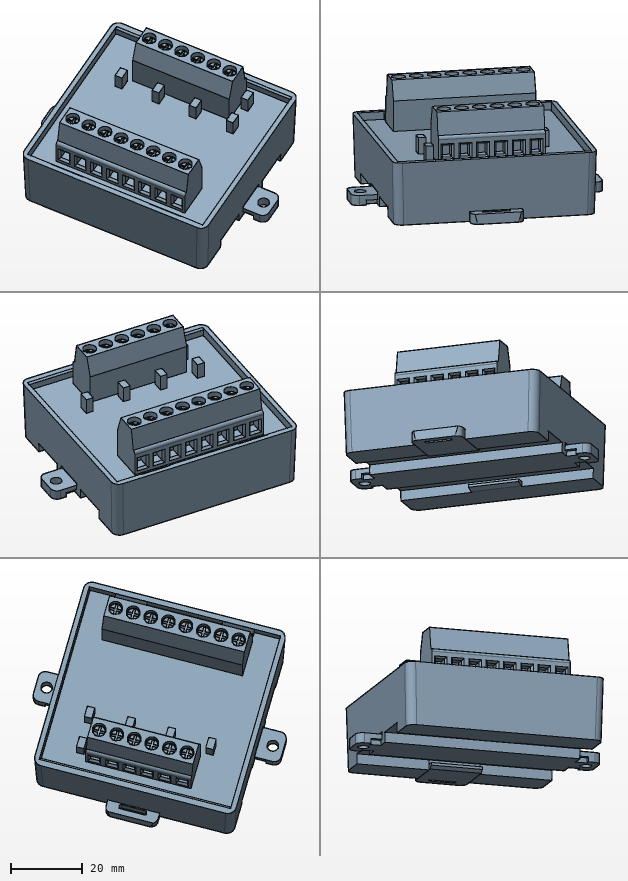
import cadquery as cq
import math


base_length = 58.2
base_width = 56.3
base_height = 18.1
wall_draft = 0.48
corner_radius = 2.4
floor_thickness = 1.5

recess_length = 55.3
recess_front_y = -26.55
recess_rear_y = 25.85
recess_depth = 2.2
rear_bevel_width = 0.6
rear_bevel_height = 0.45
cover_clearance = 0.2
cover_ledge = 0.8
cover_thickness = 2.0

catch_length = 9.2
catch_reach = 1.4
catch_height = 2.0
catch_x = 15.5

rail_y = 0.12
rail_half_width = 17.8
foot_half_width = 6.92
channel_height = 2.9

hook_reach = 2.75
hook_top = 1.4
hook_tip_bottom = 0.65
hook_foot_reach = 0.6

overall_length = 71.6
ear_width = 9.1
ear_corner_radius = 2.0
ear_hole_diameter = 3.2
ear_hole_x = 32.7
ear_relief_x = 31.9
ear_relief_height = 1.45
ear_relief_depth = 1.3
ear_mouth_rise = 0.7

latch_width = 15.0
latch_end_y = 31.36
latch_end_draft = 0.3
latch_corner_radius = 2.0
latch_slot_length = 7.9
latch_slot_width = 1.2
latch_slot_radius = 0.5
latch_slot_y = 28.7
latch_hook_reach = 2.0
latch_hook_top = 1.65
latch_hook_bevel = 0.9

pitch = 5.08
block_top = 30.25
block_depth = 10.3
front_ways = 8
rear_ways = 6
front_block_y = -23.4
rear_block_y = 22.92
shoulder_z = 23.75
shoulder_radius = 0.95
top_front_depth = 2.13
top_back_depth = 8.3
back_knee_z = 24.7

screw_hole_diameter = 3.8
screw_head_depth = 1.4
screw_head_bevel = 0.25
screw_head_bevel_angle = 45
screw_slot_width = 0.65
screw_slot_length = 3.2
screw_slot_depth = 0.5

entry_width = 3.7
entry_bottom = 16.95
entry_top = 21.5
entry_taper = 0.55
funnel_depth = 0.7
entry_depth = 3.5

led_width = 2.15
led_length = 3.2
led_top = 20.6
led_row_y = 10.15
led_row_pitch = 11.7
led_row_count = 4
power_led_position = (17.3, 19.4)

cover_top = base_height - recess_depth
cover_bottom = cover_top - cover_thickness
recess_half_length = recess_length / 2
floor_top = channel_height + floor_thickness
ear_half_length = overall_length / 2
inner_ear_x = recess_half_length - cover_ledge
latch_inner_y = rail_y + rail_half_width


def box(x_min, x_max, y_min, y_max, z_min, z_max):
    """Axis-aligned block given by its limits."""
    corner = (x_min, y_min, z_min)
    size = (x_max - x_min, y_max - y_min, z_max - z_min)
    return cq.Workplane("XY").box(*size, centered=False).translate(corner)


def extrude_along_x(profile_yz, length):
    """Prism of a closed (y, z) outline, centred on X = 0."""
    return cq.Workplane("YZ").polyline(profile_yz).close().extrude(length / 2, both=True)


def rounded_outline(length, width):
    return cq.Sketch().rect(length, width).vertices().fillet(corner_radius)


def drafted_block():
    foot = rounded_outline(base_length - 2 * wall_draft, base_width - 2 * wall_draft)
    rim = rounded_outline(base_length, base_width).moved(cq.Location(cq.Vector(0, 0, base_height)))
    return cq.Workplane("XY").placeSketch(foot, rim).loft()


def inset_recess_box(inset, z_min, z_max):
    """Block with the plan of the recess, shrunk by the inset on every side."""
    half_length = recess_half_length - inset
    return box(-half_length, half_length, recess_front_y + inset, recess_rear_y - inset, z_min, z_max)


def cover_recess():
    """Opening with its rear bevel, cover seat and the cavity under the cover."""
    opening = inset_recess_box(0, cover_bottom, base_height)
    cavity = inset_recess_box(cover_ledge, floor_top, cover_bottom)
    bevel = extrude_along_x(
        [
            (recess_rear_y, base_height - rear_bevel_height),
            (recess_rear_y + rear_bevel_width, base_height),
            (recess_rear_y, base_height),
        ],
        recess_length,
    )
    return opening.union(cavity).union(bevel)


def rail_channel(side):
    inner = rail_y + side * foot_half_width
    outer = rail_y + side * rail_half_width
    y_min, y_max = sorted((inner, outer))
    return box(-base_length / 2, base_length / 2, y_min, y_max, 0, channel_height)


def fixed_hook():
    wall_y = rail_y - rail_half_width
    profile = [
        (wall_y, 0),
        (wall_y + hook_foot_reach, 0),
        (wall_y + hook_reach, hook_tip_bottom),
        (wall_y + hook_reach, hook_top),
        (wall_y, hook_top),
    ]
    return extrude_along_x(profile, latch_width)


def cover_catch(x):
    """Wedge on the front wall whose flat underside sits on the cover."""
    profile = [
        (recess_front_y, cover_top),
        (recess_front_y + catch_reach, cover_top),
        (recess_front_y, cover_top + catch_height),
    ]
    return extrude_along_x(profile, catch_length).translate((x, 0, 0))


def ear_mouth():
    """Sloped clearance above the left ear where it enters the wall."""
    outer_x = -base_length / 2
    face_x = -(base_length / 2 - wall_draft)
    profile = [
        (outer_x, channel_height),
        (face_x + ear_mouth_rise, channel_height),
        (face_x, channel_height + ear_mouth_rise),
        (outer_x, channel_height + ear_mouth_rise),
    ]
    return (
        cq.Workplane("XZ", origin=(0, rail_y, 0))
        .polyline(profile)
        .close()
        .extrude(ear_width / 2, both=True)
    )


def ear():
    """Left mounting ear, running into the foot of the base."""
    y_min = rail_y - ear_width / 2
    y_max = rail_y + ear_width / 2
    wall_x = base_length / 2 - wall_draft
    tab = box(-ear_half_length, -inner_ear_x, y_min, y_max, 0, channel_height)
    tab = tab.edges("|Z and <X").fillet(ear_corner_radius)
    for relief_y in (y_min, y_max - ear_relief_depth):
        relief = box(-ear_relief_x, -wall_x, relief_y, relief_y + ear_relief_depth, 0, ear_relief_height)
        tab = tab.cut(relief)
    hole = (
        cq.Workplane("XY")
        .center(-ear_hole_x, rail_y)
        .circle(ear_hole_diameter / 2)
        .extrude(channel_height)
    )
    return tab.cut(hole)


def latch_envelope():
    """Block that the latch plate fills and that is pocketed out of the base."""
    half = latch_width / 2
    return box(-half, half, latch_inner_y, latch_end_y, 0, channel_height)


def make_base():
    base = drafted_block().cut(cover_recess()).cut(latch_envelope())
    for side in (-1, 1):
        base = base.cut(rail_channel(side))
        base = base.union(cover_catch(side * catch_x))
    left_mouth = ear_mouth()
    left_ear = ear()
    base = base.cut(left_mouth).cut(left_mouth.mirror("YZ"))
    base = base.union(left_ear).union(left_ear.mirror("YZ"))
    return base.union(fixed_hook())


def make_latch():
    plate = latch_envelope().edges("|Z and >Y").fillet(latch_corner_radius)
    end_wedge = extrude_along_x(
        [
            (latch_end_y, 0),
            (latch_end_y, channel_height),
            (latch_end_y - latch_end_draft, channel_height),
        ],
        latch_width,
    )
    slot = (
        cq.Workplane("XY")
        .center(0, latch_slot_y)
        .rect(latch_slot_length, latch_slot_width)
        .extrude(channel_height)
        .edges("|Z")
        .fillet(latch_slot_radius)
    )
    tip_y = latch_inner_y - latch_hook_reach
    hook = extrude_along_x(
        [
            (latch_inner_y, 0),
            (tip_y + latch_hook_bevel, 0),
            (tip_y, latch_hook_bevel),
            (tip_y, latch_hook_top),
            (latch_inner_y, latch_hook_top),
        ],
        latch_width,
    )
    return plate.cut(end_wedge).cut(slot).union(hook)


def screw_cut():
    """Screw hole from the block top, leaving a bevelled head with a cross slot at its bottom."""
    radius = screw_hole_diameter / 2
    floor_z = block_top - screw_head_depth - screw_head_bevel
    hole = cq.Workplane("XY", origin=(0, 0, floor_z)).circle(radius).extrude(block_top - floor_z)
    head = (
        cq.Workplane("XY", origin=(0, 0, floor_z))
        .circle(radius)
        .extrude(screw_head_bevel, taper=screw_head_bevel_angle)
    )
    cross = cq.Workplane("XY", origin=(0, 0, floor_z + screw_head_bevel - screw_slot_depth))
    slot_x = cross.rect(screw_slot_length, screw_slot_width).extrude(screw_slot_depth)
    slot_y = cross.rect(screw_slot_width, screw_slot_length).extrude(screw_slot_depth)
    return hole.cut(head).union(slot_x).union(slot_y)


def wire_entry():
    """Funnel and straight pocket, opening at Y = 0 and running toward +Y."""
    height = entry_top - entry_bottom
    middle_z = (entry_top + entry_bottom) / 2
    taper = math.degrees(math.atan2(entry_taper, funnel_depth))
    face = cq.Workplane("XZ", origin=(0, 0, middle_z))
    funnel = face.rect(entry_width, height).extrude(-funnel_depth, taper=taper)
    pocket = face.rect(entry_width - 2 * entry_taper, height - 2 * entry_taper).extrude(-entry_depth)
    return funnel.union(pocket)


def terminal_block(ways):
    """Block with its wire face on Y = 0, facing -Y."""
    length = ways * pitch
    round_offset = shoulder_radius * (1 - math.sqrt(0.5))
    block = (
        cq.Workplane("YZ")
        .moveTo(0, cover_top)
        .lineTo(0, shoulder_z - shoulder_radius)
        .threePointArc((round_offset, shoulder_z - round_offset), (shoulder_radius, shoulder_z))
        .lineTo(top_front_depth, block_top)
        .lineTo(top_back_depth, block_top)
        .lineTo(block_depth, back_knee_z)
        .lineTo(block_depth, cover_top)
        .close()
        .extrude(length / 2, both=True)
    )
    screw = screw_cut().translate((0, block_depth / 2, 0))
    entry = wire_entry()
    for way in range(ways):
        x = (way - (ways - 1) / 2) * pitch
        block = block.cut(screw.translate((x, 0, 0))).cut(entry.translate((x, 0, 0)))
    return block


def indicator(x, y):
    return (
        cq.Workplane("XY", origin=(x, y, cover_top))
        .rect(led_width, led_length)
        .extrude(led_top - cover_top)
    )


def make_cover():
    cover = inset_recess_box(cover_clearance, cover_bottom, cover_top)
    cover = cover.union(terminal_block(front_ways).translate((0, front_block_y, 0)))
    rear_block = terminal_block(rear_ways).rotate((0, 0, 0), (0, 0, 1), 180)
    cover = cover.union(rear_block.translate((0, rear_block_y, 0)))
    for index in range(led_row_count):
        x = (index - (led_row_count - 1) / 2) * led_row_pitch
        cover = cover.union(indicator(x, led_row_y))
    return cover.union(indicator(*power_led_position))


base = make_base()
cover = make_cover()
latch = make_latch()
result = cq.Compound.makeCompound([body.solids().val() for body in (base, cover, latch)])